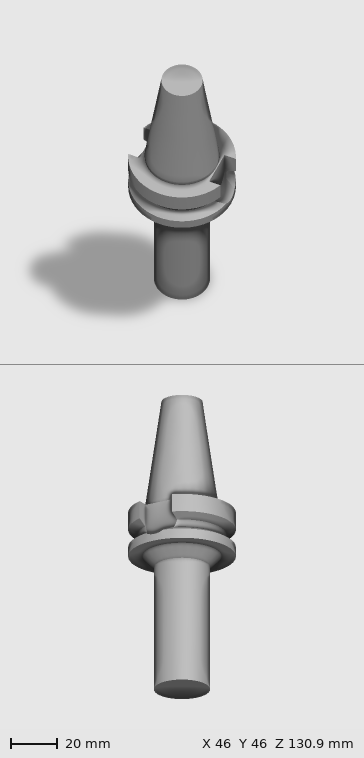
import cadquery as cq
import math


gauge_diameter = 31.75
taper_ratio = 7 / 24
taper_length = 48.4
collar_diameter = 31.9

flange_diameter = 46.0
flange_top = -2.0
flange_thickness = 20.0
groove_floor_diameter = 38.0
groove_floor_width = 3.3
groove_center_drop = 11.8
groove_flank_angle = 30.0

neck_diameter = 34.0
neck_length = 5.0
shank_diameter = 24.0
overall_length = 130.9

slot_width = 16.1
slot_floor_offset = 16.3
slot_depth = 17.0

screw_diameter = 5.2
screw_height = 6.7
screw_depth = 5.0

top_radius = (gauge_diameter - taper_ratio * taper_length) / 2
collar_radius = collar_diameter / 2
collar_top = -(collar_diameter - gauge_diameter) / taper_ratio
flange_radius = flange_diameter / 2
flange_bottom = flange_top - flange_thickness
groove_floor_radius = groove_floor_diameter / 2
groove_center = flange_top - groove_center_drop
groove_floor_half = groove_floor_width / 2
groove_flank_drop = (flange_radius - groove_floor_radius) * math.tan(math.radians(groove_flank_angle))
groove_mouth_half = groove_floor_half + groove_flank_drop
neck_bottom = flange_bottom - neck_length
shank_radius = shank_diameter / 2
shank_bottom = taper_length - overall_length


def make_body():
    """Revolve the half section of the holder about Z."""
    return (
        cq.Workplane("XZ")
        .moveTo(0, taper_length)
        .lineTo(top_radius, taper_length)
        .lineTo(collar_radius, collar_top)
        .lineTo(collar_radius, flange_top)
        .lineTo(flange_radius, flange_top)
        .lineTo(flange_radius, groove_center + groove_mouth_half)
        .lineTo(groove_floor_radius, groove_center + groove_floor_half)
        .lineTo(groove_floor_radius, groove_center - groove_floor_half)
        .lineTo(flange_radius, groove_center - groove_mouth_half)
        .lineTo(flange_radius, flange_bottom)
        .lineTo(neck_diameter / 2, flange_bottom)
        .lineTo(shank_radius, neck_bottom)
        .lineTo(shank_radius, shank_bottom)
        .lineTo(0, shank_bottom)
        .close()
        .revolve(360, (0, 0, 0), (0, 1, 0))
    )


def make_drive_slot(side):
    """Round-bottomed slot cutter on the +X (side = 1) or -X (side = -1) edge."""
    half_width = slot_width / 2
    slot_bottom = flange_top - slot_depth
    arc_center = slot_bottom + half_width
    return (
        cq.Workplane("YZ", origin=(side * slot_floor_offset, 0, 0))
        .moveTo(-half_width, flange_top)
        .lineTo(-half_width, arc_center)
        .threePointArc((0, slot_bottom), (half_width, arc_center))
        .lineTo(half_width, flange_top)
        .close()
        .extrude(side * flange_radius)
    )


def make_screw_hole():
    """Radial set-screw hole entering the shank from +Y."""
    return (
        cq.Workplane("XZ", origin=(0, shank_radius, shank_bottom + screw_height))
        .circle(screw_diameter / 2)
        .extrude(screw_depth)
    )


result = make_body()
for slot_side in (-1, 1):
    result = result.cut(make_drive_slot(slot_side))
result = result.cut(make_screw_hole())